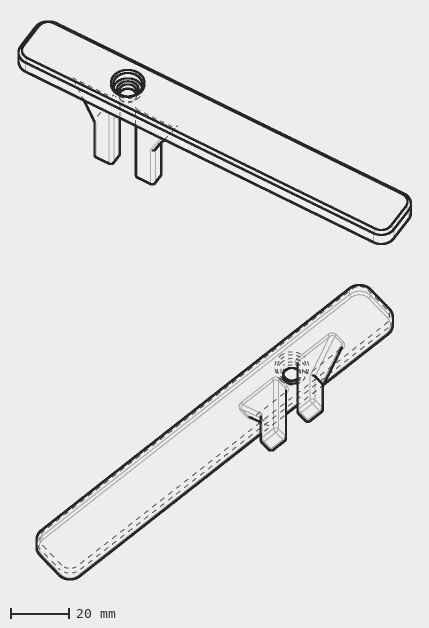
import cadquery as cq

plate_length = 150
plate_width = 20.0
plate_thickness = 7.0
corner_radius = 5.1
top_chamfer = 1.2
bottom_fillet = 0.9

hole_x = 40.0
leg_gap = 9
leg_width = 7.6
leg_thickness = 6
leg_length = 39.9
flare_width = 9.2
flare_height = 20.0
leg_fillet = 1.2
root_fillet = 0.8

hole_diameter = 6
counterbore_diameter = 10.0
counterbore_depth = 3.8
counterbore_chamfer = 0.8
hole_chamfer = 0.8


def make_plate():
    plate = (
        cq.Workplane("XY")
        .center(plate_length / 2, 0)
        .rect(plate_length, plate_width)
        .extrude(plate_thickness)
        .edges("|Z")
        .fillet(corner_radius)
    )
    return plate.faces(">Z").chamfer(top_chamfer).faces("<Z").edges().fillet(bottom_fillet)


def make_right_leg():
    inner_x = hole_x + leg_gap / 2
    outer_x = inner_x + leg_width
    leg = (
        cq.Workplane("XZ")
        .moveTo(inner_x, 0)
        .lineTo(inner_x, -leg_length)
        .lineTo(outer_x, -leg_length)
        .lineTo(outer_x, -flare_height)
        .lineTo(outer_x + flare_width, 0)
        .close()
        .extrude(leg_thickness / 2, both=True)
    )
    return leg.edges("(#Y or |Y) and (not >Z)").edges("not(|Y and (not <Z))").fillet(leg_fillet)


def make_screw_hole():
    """Revolved cutter: through hole, counterbore and a bevel on each rim."""
    hole_radius = hole_diameter / 2
    bore_radius = counterbore_diameter / 2
    floor_z = plate_thickness - counterbore_depth
    return (
        cq.Workplane("XZ", origin=(hole_x, 0, 0))
        .lineTo(hole_radius, 0)
        .lineTo(hole_radius, floor_z - hole_chamfer)
        .lineTo(hole_radius + hole_chamfer, floor_z)
        .lineTo(bore_radius, floor_z)
        .lineTo(bore_radius, plate_thickness - counterbore_chamfer)
        .lineTo(bore_radius + counterbore_chamfer, plate_thickness)
        .lineTo(0, plate_thickness)
        .close()
        .revolve(360, (0, 0, 0), (0, 1, 0))
    )


right_leg = make_right_leg()
left_leg = right_leg.mirror("YZ", (hole_x, 0, 0))
body = make_plate().union(right_leg).union(left_leg)

root_region = cq.selectors.BoxSelector(
    (hole_x - plate_width, -leg_thickness, -root_fillet / 2),
    (hole_x + plate_width, leg_thickness, root_fillet / 2),
)
body = body.edges(root_region).fillet(root_fillet)

result = body.cut(make_screw_hole())